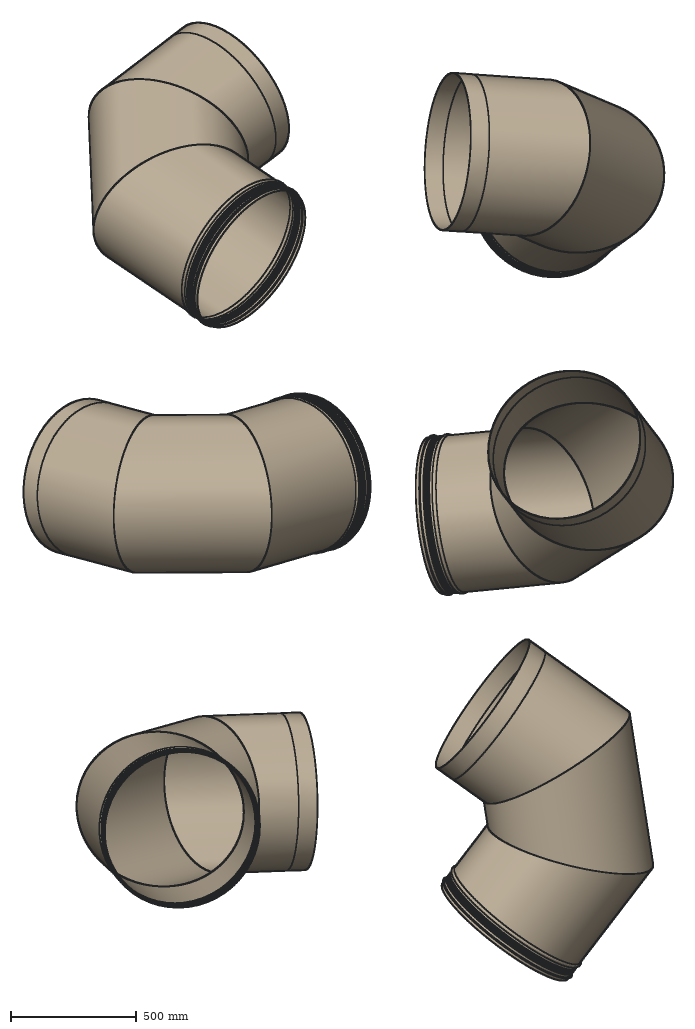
import cadquery as cq
import math


LENGTH_X = 1018.0
LENGTH_Y = 952.0

PIPE_DIAMETER = 631.0
BORE_DIAMETER = 627.0
COLLAR_DIAMETER = 632.0
GASKET_DIAMETER = 644.0

PIPE_RADIUS = PIPE_DIAMETER / 2
BORE_RADIUS = BORE_DIAMETER / 2
COLLAR_RADIUS = COLLAR_DIAMETER / 2
GASKET_RADIUS = GASKET_DIAMETER / 2

BEND_RADIUS = 448.0
BEND_ANGLE = 90.0
MITRE_ANGLE = BEND_ANGLE / 4

X_END = LENGTH_X - COLLAR_RADIUS
Y_END = LENGTH_Y - GASKET_RADIUS

COLLAR_LENGTH = 77.0
COLLAR_TAPER = 9.0

BEAD_START = X_END - 84.0
BEAD_LENGTH = 16.0
BEAD_HEIGHT = 5.6

SEAT_START = X_END - 57.0
SEAT_LENGTH = 43.0
SEAT_END = SEAT_START + SEAT_LENGTH
SEAT_RADIUS = PIPE_RADIUS - 1.2

RIB_COUNT = 3
RIB_PITCH = 10.0
RIB_RADIUS = PIPE_RADIUS + 0.5
BASE_RADIUS = SEAT_RADIUS + 0.3
LIP_START = SEAT_END - 4.0
LIP_TIP_WIDTH = 1.0

FIRST_MITRE = 180 + MITRE_ANGLE
SECOND_MITRE = 270 - MITRE_ANGLE
TRIM_ANGLE = 120
WEDGE_REACH = 2 * LENGTH_X


def tube_along_x(start, end):
    """Pipe between two X positions."""
    return (
        cq.Workplane("YZ", origin=(start, 0, 0))
        .circle(PIPE_RADIUS)
        .circle(BORE_RADIUS)
        .extrude(end - start)
    )


def tube_along_y(start, end):
    """Pipe between two Y positions."""
    return (
        cq.Workplane("XZ", origin=(0, end, 0))
        .circle(PIPE_RADIUS)
        .circle(BORE_RADIUS)
        .extrude(end - start)
    )


def bend_wedge(start_angle, end_angle):
    """Wedge around the bend centre; the angles run from 180 (+Y end) to 270 (+X end)."""
    rays = [
        (WEDGE_REACH * math.cos(math.radians(angle)), WEDGE_REACH * math.sin(math.radians(angle)))
        for angle in (start_angle, end_angle)
    ]
    return (
        cq.Workplane("XY", origin=(BEND_RADIUS, BEND_RADIUS, 0))
        .polyline([(0, 0)] + rays)
        .close()
        .extrude(PIPE_DIAMETER, both=True)
    )


def revolve_around_x(profile):
    return profile.close().revolve(360, (0, 0), (1, 0))


def stop_bead():
    """Half-round ring that stands on the pipe."""
    bead_end = BEAD_START + BEAD_LENGTH
    crest = (BEAD_START + BEAD_LENGTH / 2, PIPE_RADIUS + BEAD_HEIGHT)
    profile = (
        cq.Workplane("XY")
        .moveTo(BEAD_START, BORE_RADIUS)
        .lineTo(BEAD_START, PIPE_RADIUS)
        .threePointArc(crest, (bead_end, PIPE_RADIUS))
        .lineTo(bead_end, BORE_RADIUS)
    )
    return revolve_around_x(profile)


def gasket_seat():
    """Ring of material removed from the pipe under the gasket."""
    return (
        cq.Workplane("YZ", origin=(SEAT_START, 0, 0))
        .circle(GASKET_RADIUS)
        .circle(SEAT_RADIUS)
        .extrude(SEAT_LENGTH)
    )


def make_x_segment():
    pipe = tube_along_x(-BEND_RADIUS, X_END)
    mitred = pipe.cut(bend_wedge(SECOND_MITRE - TRIM_ANGLE, SECOND_MITRE))
    return mitred.union(stop_bead()).cut(gasket_seat())


def make_y_segment():
    pipe = tube_along_y(-BEND_RADIUS, Y_END)
    return pipe.cut(bend_wedge(FIRST_MITRE, FIRST_MITRE + TRIM_ANGLE))


def make_middle_segment():
    setback = BEND_RADIUS * (1 - math.tan(math.radians(MITRE_ANGLE)))
    axis = cq.Plane(origin=(setback, 0, 0), xDir=(0, 0, 1), normal=(-1, 1, 0))
    pipe = (
        cq.Workplane(axis)
        .workplane(offset=-LENGTH_X)
        .circle(PIPE_RADIUS)
        .circle(BORE_RADIUS)
        .extrude(2 * LENGTH_X)
    )
    return pipe.intersect(bend_wedge(FIRST_MITRE, SECOND_MITRE))


def make_collar():
    """Thin sleeve around the +Y end that tapers down to the pipe."""
    inner_edge = Y_END - COLLAR_LENGTH
    return (
        cq.Workplane("XY")
        .moveTo(PIPE_RADIUS, Y_END)
        .lineTo(COLLAR_RADIUS, Y_END)
        .lineTo(COLLAR_RADIUS, inner_edge + COLLAR_TAPER)
        .lineTo(PIPE_RADIUS, inner_edge)
        .close()
        .revolve(360, (0, 0), (0, 1))
    )


def make_gasket():
    profile = cq.Workplane("XY").moveTo(SEAT_START, SEAT_RADIUS).lineTo(SEAT_START, BASE_RADIUS)
    for index in range(RIB_COUNT):
        rib_start = SEAT_START + index * RIB_PITCH
        profile = (
            profile.lineTo(rib_start + RIB_PITCH / 2, RIB_RADIUS)
            .lineTo(rib_start + RIB_PITCH, BASE_RADIUS)
        )
    profile = (
        profile.lineTo(LIP_START, BASE_RADIUS)
        .lineTo(LIP_START, GASKET_RADIUS)
        .lineTo(LIP_START + LIP_TIP_WIDTH, GASKET_RADIUS)
        .lineTo(SEAT_END, BASE_RADIUS)
        .lineTo(SEAT_END, SEAT_RADIUS)
    )
    return revolve_around_x(profile)


x_segment = make_x_segment()
middle_segment = make_middle_segment()
y_segment = make_y_segment()
collar = make_collar()
gasket = make_gasket()

result = cq.Compound.makeCompound(
    [x_segment.val(), middle_segment.val(), y_segment.val(), collar.val(), gasket.val()]
)